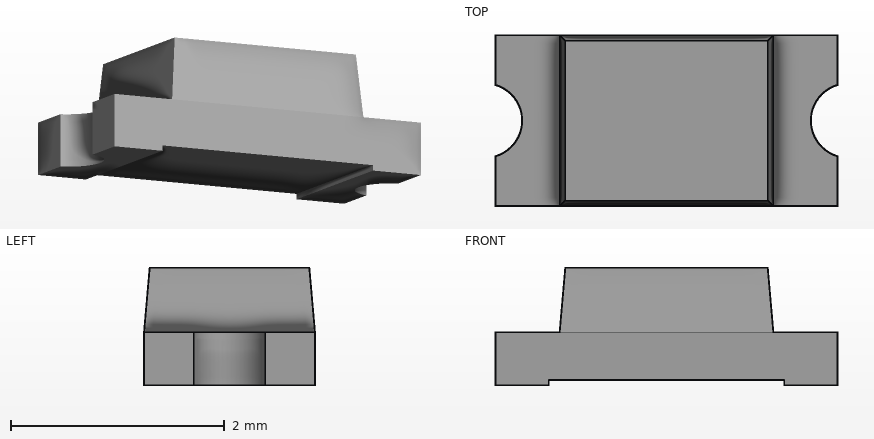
import cadquery as cq
import math

length = 3.2
width = 1.6
base_height = 0.5
pad_thickness = 0.05
pad_length = 0.5

lens_length = 2.0
lens_height = 0.6
lens_draft = 5.0

notch_depth = 0.25
notch_chord = 0.665
notch_radius = ((notch_chord / 2) ** 2 + notch_depth ** 2) / (2 * notch_depth)
notch_center = length / 2 - notch_depth + notch_radius


def make_base():
    """Board block with a shallow relief between the two end pads."""
    block = cq.Workplane("XY").box(length, width, base_height, centered=(True, True, False))
    relief = cq.Workplane("XY").box(
        length - 2 * pad_length, width, pad_thickness, centered=(True, True, False)
    )
    return block.cut(relief)


def make_lens():
    """Rectangular lens that narrows towards its top."""
    inset = lens_height * math.tan(math.radians(lens_draft))
    return (
        cq.Workplane("XY")
        .workplane(offset=base_height)
        .rect(lens_length, width)
        .workplane(offset=lens_height)
        .rect(lens_length - 2 * inset, width - 2 * inset)
        .loft(ruled=True)
    )


def make_notches():
    """Vertical cylinders that cut the round notch in both ends."""
    return (
        cq.Workplane("XY")
        .pushPoints([(-notch_center, 0), (notch_center, 0)])
        .circle(notch_radius)
        .extrude(base_height)
    )


result = make_base().cut(make_notches()).union(make_lens())